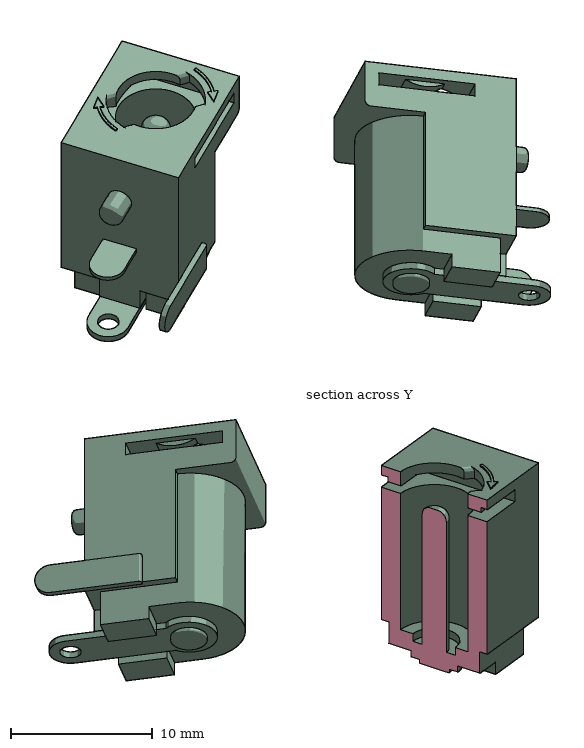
import cadquery as cq
import math


HEAD_WIDTH = 9.0
HEAD_HEIGHT = 3.5
TOP_Z = 15.2
FRONT_Y = -6.5
HEAD_EDGE_RADIUS = 0.4
BARREL_RADIUS = 3.89
BARREL_CENTER_Y = 0.1
BODY_BOTTOM_Z = 2.72
BASE_Z = 1.0
HALF_WIDTH = HEAD_WIDTH / 2
HEAD_BOTTOM_Z = TOP_Z - HEAD_HEIGHT

FOOT_FRONT_Y = -5.5
FOOT_LENGTH = 3.52
FOOT_GAP = 3.12

BORE_DIAMETER = 5.7
BORE_FLOOR_Z = 2.45
RECESS_DIAMETER = 3.6
RECESS_FLOOR_Z = 1.84
PIN_DIAMETER = 2.1
PIN_TIP_Z = 13.07
PIN_TIP_RADIUS = 0.73
BORE_RADIUS = BORE_DIAMETER / 2

SLOT_WIDTH = 7.0
SLOT_ROOF_DEPTH = 0.8
SLOT_FLOOR_DEPTH = 1.75
KEYWAY_ANGLE = 45.0
KEYWAY_WIDTH = 2.97
KEYWAY_LEAD_RADIUS = 0.29
BUMP_DROP = 0.38
BUMP_REACH = 3.98
SLOT_ROOF_Z = TOP_Z - SLOT_ROOF_DEPTH
SLOT_FLOOR_Z = TOP_Z - SLOT_FLOOR_DEPTH
KEYWAY_RADIUS = SLOT_WIDTH / 2

ARROW_HEIGHT = 0.1
ARROW_RADIUS = 4.1
ARROW_SHAFT_WIDTH = 0.2
ARROW_HEAD_WIDTH = 0.75
ARROW_TAIL_ANGLE = 70.5
ARROW_NECK_ANGLE = 34.0
ARROW_TIP_ANGLE = 20.0

PEG_DIAMETER = 1.8
PEG_Z = 11.18
PEG_END_Y = -8.4
PEG_END_RADIUS = 0.4

TERMINAL_END_Y = -10.0
FRONT_TERMINAL_WIDTH = 2.57
FRONT_TERMINAL_THICKNESS = 0.3
FRONT_TERMINAL_Z = 6.53
SIDE_TERMINAL_WIDTH = 2.3
SIDE_TERMINAL_THICKNESS = 0.43
SIDE_TERMINAL_Z = 3.69
SIDE_TERMINAL_BACK_Y = -2.28
SIDE_TERMINAL_BEND_RADIUS = 0.2
BASE_TERMINAL_END_Y = -10.1
BASE_TERMINAL_WIDTH = 3.03
BASE_TERMINAL_THICKNESS = 0.49
BASE_TERMINAL_HOLE = 1.5
BASE_TERMINAL_DISC_RADIUS = 2.0
RIVET_DIAMETER = 2.6
RIVET_HEIGHT = 0.3
RIVET_EDGE_RADIUS = 0.1


def block(x_range, y_range, z_range):
    """Box given by its lower and upper limit along each axis."""
    sizes = [high - low for low, high in (x_range, y_range, z_range)]
    corner = (x_range[0], y_range[0], z_range[0])
    return cq.Workplane("XY").box(*sizes, centered=False).translate(corner)


def cylinder(radius, bottom_z, top_z):
    """Upright cylinder on the Z axis."""
    return cq.Workplane("XY").workplane(offset=bottom_z).circle(radius).extrude(top_z - bottom_z)


def round_ended_strip(plane, back_y, end_y, width, thickness):
    """Flat strip running toward -Y with a full-round end."""
    half = width / 2
    return (
        plane.moveTo(-half, back_y)
        .lineTo(-half, end_y + half)
        .threePointArc((0, end_y), (half, end_y + half))
        .lineTo(half, back_y)
        .close()
        .extrude(thickness)
    )


def polar(radius, angle):
    """Point at an angle in degrees about the bore axis."""
    return (radius * math.cos(math.radians(angle)), radius * math.sin(math.radians(angle)))


def make_housing():
    across = (-HALF_WIDTH, HALF_WIDTH)
    head = block(across, (FRONT_Y, HALF_WIDTH), (HEAD_BOTTOM_Z, TOP_Z))
    head = head.edges(">Y and <Z").fillet(HEAD_EDGE_RADIUS)
    body = block(across, (FRONT_Y, BARREL_CENTER_Y), (BODY_BOTTOM_Z, TOP_Z))
    barrel = cylinder(BARREL_RADIUS, BASE_Z, HEAD_BOTTOM_Z).translate((0, BARREL_CENTER_Y, 0))
    base = block(
        (-BARREL_RADIUS, BARREL_RADIUS), (FOOT_FRONT_Y, BARREL_CENTER_Y), (BASE_Z, BODY_BOTTOM_Z)
    )
    tongue = block((-FOOT_GAP / 2, FOOT_GAP / 2), (FRONT_Y, FOOT_FRONT_Y), (BASE_Z, BODY_BOTTOM_Z))
    housing = head.union(body).union(barrel).union(base).union(tongue)
    foot_length_range = (FOOT_FRONT_Y, FOOT_FRONT_Y + FOOT_LENGTH)
    for foot_range in ((-BARREL_RADIUS, -FOOT_GAP / 2), (FOOT_GAP / 2, BARREL_RADIUS)):
        housing = housing.union(block(foot_range, foot_length_range, (0, BASE_Z)))
    return housing


def make_roof_bump(angle):
    """Ridge with a round underside that runs outward along the slot roof."""
    ridge_axis_z = SLOT_ROOF_Z - BUMP_DROP + BORE_RADIUS
    ridge = cq.Workplane("YZ").center(0, ridge_axis_z).circle(BORE_RADIUS).extrude(BUMP_REACH)
    below_roof = block((0, BUMP_REACH), (-BORE_RADIUS, BORE_RADIUS), (SLOT_FLOOR_Z, SLOT_ROOF_Z))
    return ridge.intersect(below_roof).rotate((0, 0, 0), (0, 0, 1), angle)


def make_slot():
    """Cross slot through the head, less the bumps that hang from its roof."""
    slot = block(
        (-HALF_WIDTH, HALF_WIDTH), (-SLOT_WIDTH / 2, SLOT_WIDTH / 2), (SLOT_FLOOR_Z, SLOT_ROOF_Z)
    )
    for angle in (0, 180):
        slot = slot.cut(make_roof_bump(angle))
    return slot


def make_keyways():
    """Both keyways in one cutter, with rounded lead-ins along their upper edges."""
    half = KEYWAY_WIDTH / 2
    lead = KEYWAY_LEAD_RADIUS
    profile = cq.Workplane("YZ").moveTo(-half, SLOT_FLOOR_Z).lineTo(half, SLOT_FLOOR_Z)
    profile = profile.lineTo(half, TOP_Z - lead).radiusArc((half + lead, TOP_Z), lead)
    profile = profile.lineTo(-half - lead, TOP_Z).radiusArc((-half, TOP_Z - lead), lead).close()
    bar = profile.extrude(KEYWAY_RADIUS, both=True)
    bar = bar.rotate((0, 0, 0), (0, 0, 1), KEYWAY_ANGLE)
    return bar.intersect(cylinder(KEYWAY_RADIUS, SLOT_FLOOR_Z, TOP_Z))


def make_pin():
    pin = cylinder(PIN_DIAMETER / 2, RECESS_FLOOR_Z, PIN_TIP_Z)
    return pin.faces(">Z").edges().fillet(PIN_TIP_RADIUS)


def make_arrow(turn):
    """Curved arrow, pointing clockwise, raised on the top face."""
    middle_angle = (ARROW_TAIL_ANGLE + ARROW_NECK_ANGLE) / 2
    outer = ARROW_RADIUS + ARROW_SHAFT_WIDTH / 2
    inner = ARROW_RADIUS - ARROW_SHAFT_WIDTH / 2
    arrow = (
        cq.Workplane("XY").workplane(offset=TOP_Z)
        .moveTo(*polar(outer, ARROW_TAIL_ANGLE))
        .threePointArc(polar(outer, middle_angle), polar(outer, ARROW_NECK_ANGLE))
        .lineTo(*polar(ARROW_RADIUS + ARROW_HEAD_WIDTH / 2, ARROW_NECK_ANGLE))
        .lineTo(*polar(ARROW_RADIUS, ARROW_TIP_ANGLE))
        .lineTo(*polar(ARROW_RADIUS - ARROW_HEAD_WIDTH / 2, ARROW_NECK_ANGLE))
        .lineTo(*polar(inner, ARROW_NECK_ANGLE))
        .threePointArc(polar(inner, middle_angle), polar(inner, ARROW_TAIL_ANGLE))
        .close()
        .extrude(ARROW_HEIGHT)
    )
    return arrow.rotate((0, 0, 0), (0, 0, 1), turn)


def make_peg():
    front = cq.Workplane("XZ", origin=(0, FRONT_Y, PEG_Z))
    peg = front.circle(PEG_DIAMETER / 2).extrude(FRONT_Y - PEG_END_Y)
    return peg.faces("<Y").edges().fillet(PEG_END_RADIUS)


def make_front_terminal():
    plane = cq.Workplane("XY").workplane(offset=FRONT_TERMINAL_Z)
    return round_ended_strip(
        plane, FRONT_Y, TERMINAL_END_Y, FRONT_TERMINAL_WIDTH, FRONT_TERMINAL_THICKNESS
    )


def make_side_terminal():
    plane = cq.Workplane(
        cq.Plane(origin=(HALF_WIDTH, 0, SIDE_TERMINAL_Z), xDir=(0, 0, -1), normal=(1, 0, 0))
    )
    strip = round_ended_strip(
        plane, SIDE_TERMINAL_BACK_Y, TERMINAL_END_Y, SIDE_TERMINAL_WIDTH, SIDE_TERMINAL_THICKNESS
    )
    return strip.edges(">X and >Y").fillet(SIDE_TERMINAL_BEND_RADIUS)


def make_base_terminal():
    bottom_z = BASE_Z - BASE_TERMINAL_THICKNESS
    plane = cq.Workplane("XY").workplane(offset=bottom_z)
    strip = round_ended_strip(
        plane, 0, BASE_TERMINAL_END_Y, BASE_TERMINAL_WIDTH, BASE_TERMINAL_THICKNESS
    )
    disc = cylinder(BASE_TERMINAL_DISC_RADIUS, bottom_z, BASE_Z)
    rivet = cylinder(RIVET_DIAMETER / 2, bottom_z - RIVET_HEIGHT, bottom_z)
    rivet = rivet.faces("<Z").edges().fillet(RIVET_EDGE_RADIUS)
    hole = cylinder(BASE_TERMINAL_HOLE / 2, bottom_z, BASE_Z)
    hole = hole.translate((0, BASE_TERMINAL_END_Y + BASE_TERMINAL_WIDTH / 2, 0))
    return strip.union(disc).union(rivet).cut(hole)


result = make_housing().cut(make_slot()).cut(make_keyways())
result = result.cut(cylinder(BORE_RADIUS, BORE_FLOOR_Z, TOP_Z))
result = result.cut(cylinder(RECESS_DIAMETER / 2, RECESS_FLOOR_Z, BORE_FLOOR_Z))
result = result.union(make_pin()).union(make_peg())
result = result.union(make_front_terminal()).union(make_side_terminal()).union(make_base_terminal())
for arrow_turn in (0, 180):
    result = result.union(make_arrow(arrow_turn))